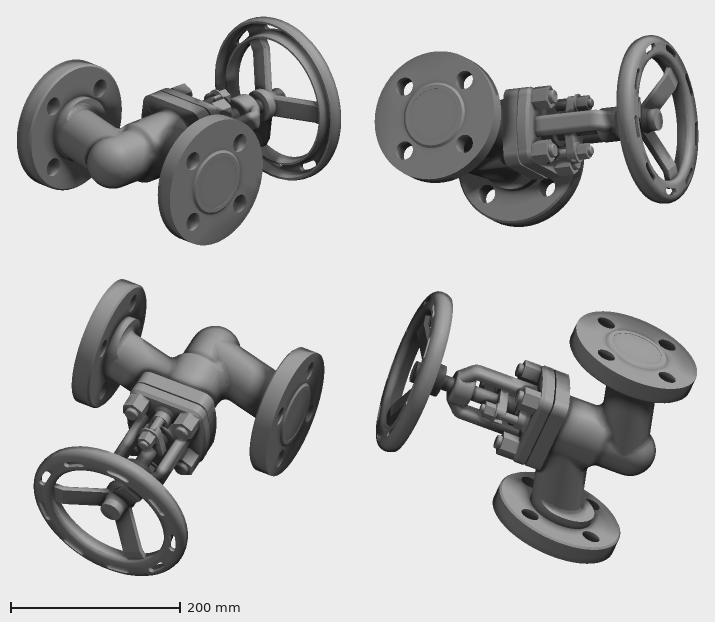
import cadquery as cq
import math


FACE_TO_FACE = 260.0
FLANGE_RADIUS = 77.5
FLANGE_THICKNESS = 22.5
FLANGE_CHAMFER = 2.2
RAISED_FACE_RADIUS = 36.8
RAISED_FACE_FLARE = 55.0
BORE_RADIUS = 31.7
BORE_RECESS = 0.5
RAISED_FACE_HEIGHT = 2.0
BOLT_HOLE_RADIUS = 11.0
BOLT_CIRCLE_RADIUS = 55.0
FLANGE_HUB_RADIUS = 38.9
FLANGE_HUB_LENGTH = 10.5
FLANGE_HUB_FILLET = 6.5

PIPE_RADIUS = 30.0
PIPE_TILT = 15.0
BODY_RADIUS = 36.6
BODY_TOP = 52.8
BODY_TOP_FILLET = 3.0
SUMP_RADIUS = 30.5
SUMP_CENTRE = -44.9
SUMP_SHOULDER = -13.7
INLET_FILLET = 10.0
OUTLET_FILLET = 10.0

BODY_PLATE_TOP = 70.5
BONNET_BOTTOM = 72.6
BONNET_TOP = 87.6
BODY_PLATE_X = 47.7
BONNET_X = 48.2
PLATE_Z = 47.0
PLATE_CORNER = 14.0
BODY_PLATE_BULGE = 3.2
BONNET_BULGE = 4.0
BONNET_BEVEL_HEIGHT = 4.4
BONNET_BEVEL_ANGLE = 24.0
GASKET_RADIUS = 41.5

STUD_PITCH = 65.5
STUD_RADIUS = 8.2
STUD_TOP = 113.2
STUD_CHAMFER = 1.0
NUT_FLATS = 24.4
NUT_TURN = 30.0
NUT_TOP = 107.6
STUD_END_RECESS = 0.5
STUD_END_RADIUS = 7.2

BOX_RADIUS = 20.5
BOX_TOP = 104.0
BOX_CHAMFER = 1.0
LUG_HALF_WIDTH = 10.4
LUG_TOP = 100.5
LUG_REACH = 35.0
LUG_FLARE = 4.0
LUG_FLARE_ANGLE = 45.0
BUSH_RADIUS = 12.5
BRIDGE_BOTTOM = 116.6
BRIDGE_TOP = 127.3
BRIDGE_RADIUS = 17.2
BRIDGE_END_RADIUS = 11.0
BRIDGE_EDGE_FILLET = 2.0
BRIDGE_SLOT_WIDTH = 12.0
EYEBOLT_OFFSET = 29.0
EYEBOLT_RADIUS = 5.5
EYEBOLT_TOP = 146.5
EYEBOLT_CHAMFER = 1.0
WASHER_RADIUS = 12.5
WASHER_TOP = 129.5
GLAND_NUT_FLATS = 17.0
GLAND_NUT_TOP = 142.3

ARM_OFFSET = 27.8
ARM_THICKNESS = 13.0
ARM_WIDTH = 25.0
ARM_BEND_CORNER = 163.0
ARM_BEND_ANGLE = 45.0
ARM_BEND_RADIUS = 9.0
YOKE_HUB_RADIUS = 20.4
YOKE_HUB_BOTTOM = 158.6
YOKE_HUB_TOP = 183.0
YOKE_HUB_FILLET = 4.3
STEM_RADIUS = 9.1

WHEEL_RADIUS = 100.0
WHEEL_TOP = 242.0
RIM_BOTTOM = 222.2
RIM_LIP_INNER_RADIUS = 95.0
WEB_BOTTOM = 237.0
WEB_OUTER_RADIUS = 93.5
WEB_INNER_RADIUS = 79.8
WEB_FILLET = 3.7
INNER_LIP_OUTER_RADIUS = 79.2
INNER_LIP_INNER_RADIUS = 76.7
INNER_LIP_BOTTOM = 221.5
INNER_LIP_SHOULDER_RADIUS = 74.4
INNER_LIP_SHOULDER = 230.0
RIM_INNER_RADIUS = 73.0
RIM_INNER_ROUND = 7.0
RIM_TOP_ROUND = 10.3
RIM_BOTTOM_RADIUS = 97.6
SLOT_COUNT = 9
SLOT_FIRST_ANGLE = 20.0
SLOT_MEAN_RADIUS = 87.0
SLOT_WIDTH = 8.0
SLOT_SWEEP = 14.5
SPOKE_COUNT = 3
SPOKE_WIDTH = 25.0
SPOKE_BEVEL = 2.5
SPOKE_THICKNESS = 8.0
SPOKE_SLOPE = 0.42
SPOKE_ROOT_RADIUS = 10.0
SPOKE_ROOT_HEIGHT = 210.7
SPOKE_BEND_RADIUS = 61.0
WHEEL_HUB_RADIUS = 19.4
WHEEL_HUB_BOTTOM = 197.0
WHEEL_HUB_SHOULDER = 205.7
WHEEL_HUB_NECK = 222.0
WHEEL_HUB_NECK_RADIUS = 13.0
WHEEL_HUB_TOP = 232.0
WHEEL_HUB_EDGE_HEIGHT = 1.5
WHEEL_HUB_EDGE_INSET = 0.4

OVERLAP = 2.0


def level(y):
    """Workplane at height y on the stem axis, extruding towards +Y; local (x, y) is (X, -Z)."""
    return cq.Workplane("XZ", origin=(0, y, 0)).transformed(rotate=(180, 0, 0))


def post(radius, bottom, top, x=0.0, z=0.0):
    """Cylinder parallel to the stem axis."""
    return level(bottom).center(x, -z).circle(radius).extrude(top - bottom)


def hex_nut(flats, bottom, top, x, z, turn):
    """Hexagonal nut parallel to the stem axis, turned by the given angle."""
    across_corners = flats / math.cos(math.pi / 6)
    nut = level(bottom).polygon(6, across_corners).extrude(top - bottom)
    return nut.rotate((0, 0, 0), (0, 1, 0), turn).translate((x, 0, z))


def half_turn(shape):
    """Copy of a shape turned half a revolution about Z."""
    return shape.rotate((0, 0, 0), (0, 0, 1), 180)


def make_pipe():
    """Inclined branch from the left port down to the stem axis."""
    tilt = math.radians(PIPE_TILT)
    axis = cq.Vector(math.cos(tilt), -math.sin(tilt), 0)
    port_to_axis = FACE_TO_FACE / 2 / math.cos(tilt)
    start = (FLANGE_THICKNESS + RAISED_FACE_HEIGHT + OVERLAP) / math.cos(tilt)
    origin = cq.Vector(-FACE_TO_FACE / 2, 0, 0) + axis * start
    plane = cq.Plane(origin=origin.toTuple(), xDir=(0, 0, 1), normal=axis.toTuple())
    return cq.Workplane(plane).circle(PIPE_RADIUS).extrude(port_to_axis - start)


def make_body():
    """Bonnet neck stepping down to the round-ended sump, with both branches blended in."""
    shoulder_mid = ((BODY_RADIUS + SUMP_RADIUS) / 2, SUMP_SHOULDER / 2)
    drop = BODY_RADIUS - SUMP_RADIUS
    bend = (drop**2 + SUMP_SHOULDER**2) / (4 * drop)
    half_angle = math.asin(-SUMP_SHOULDER / 2 / bend) / 2
    bow_x = bend * (1 - math.cos(half_angle))
    bow_y = bend * math.sin(half_angle)
    dome = SUMP_RADIUS * math.sqrt(0.5)
    core = (
        cq.Workplane("XY")
        .moveTo(0, BODY_PLATE_TOP)
        .lineTo(BODY_RADIUS, BODY_PLATE_TOP)
        .lineTo(BODY_RADIUS, 0)
        .threePointArc((BODY_RADIUS - bow_x, -bow_y), shoulder_mid)
        .threePointArc((SUMP_RADIUS + bow_x, SUMP_SHOULDER + bow_y), (SUMP_RADIUS, SUMP_SHOULDER))
        .lineTo(SUMP_RADIUS, SUMP_CENTRE)
        .threePointArc((dome, SUMP_CENTRE - dome), (0, SUMP_CENTRE - SUMP_RADIUS))
        .close()
        .revolve(360, (0, 0, 0), (0, 1, 0))
    )
    pipe = make_pipe()
    body = core.union(pipe).edges("%BSPLINE").edges("<X").fillet(INLET_FILLET)
    return body.union(half_turn(pipe)).edges("%BSPLINE").edges(">X").fillet(OUTLET_FILLET)


def make_end_flange():
    """Left end flange with raised face, bolt holes and hub."""
    left = cq.Workplane("YZ", origin=(-FACE_TO_FACE / 2, 0, 0))
    disc = (
        left.workplane(offset=RAISED_FACE_HEIGHT)
        .circle(FLANGE_RADIUS)
        .extrude(FLANGE_THICKNESS)
        .faces(">X")
        .chamfer(FLANGE_CHAMFER)
    )
    bolt_pitch = BOLT_CIRCLE_RADIUS * math.sqrt(2)
    holes = (
        left.rect(bolt_pitch, bolt_pitch, forConstruction=True)
        .vertices()
        .circle(BOLT_HOLE_RADIUS)
        .extrude(RAISED_FACE_HEIGHT + FLANGE_THICKNESS + OVERLAP)
    )
    raised_face = left.circle(RAISED_FACE_RADIUS).extrude(RAISED_FACE_HEIGHT, taper=-RAISED_FACE_FLARE)
    bore = left.circle(BORE_RADIUS).extrude(BORE_RECESS)
    hub = (
        left.workplane(offset=RAISED_FACE_HEIGHT)
        .circle(FLANGE_HUB_RADIUS)
        .extrude(FLANGE_THICKNESS + FLANGE_HUB_LENGTH)
    )
    return disc.union(raised_face).union(hub).cut(bore).cut(holes)


def make_plate(half_x, bulge, bottom, top, taper=0.0):
    """Bonnet joint plate: rounded corners, flat in Z and slightly bulged in X."""
    side_z = PLATE_Z - PLATE_CORNER
    end_x = half_x - PLATE_CORNER
    nook = PLATE_CORNER * math.sqrt(0.5)
    outline = (
        level(bottom)
        .moveTo(-end_x, PLATE_Z)
        .lineTo(end_x, PLATE_Z)
        .threePointArc((end_x + nook, side_z + nook), (half_x, side_z))
        .threePointArc((half_x + bulge, 0), (half_x, -side_z))
        .threePointArc((end_x + nook, -side_z - nook), (end_x, -PLATE_Z))
        .lineTo(-end_x, -PLATE_Z)
        .threePointArc((-end_x - nook, -side_z - nook), (-half_x, -side_z))
        .threePointArc((-half_x - bulge, 0), (-half_x, side_z))
        .threePointArc((-end_x - nook, side_z + nook), (-end_x, PLATE_Z))
        .close()
    )
    return outline.extrude(top - bottom, taper=taper)


def make_bonnet_joint():
    """Body plate, gasket, bonnet plate and the four studs with nuts."""
    neck_flare = post(BODY_RADIUS + BODY_TOP_FILLET, BODY_TOP - BODY_TOP_FILLET, BODY_TOP)
    cove = (
        cq.Workplane("XY")
        .center(BODY_RADIUS + BODY_TOP_FILLET, BODY_TOP - BODY_TOP_FILLET)
        .circle(BODY_TOP_FILLET)
        .revolve(360, (-BODY_RADIUS - BODY_TOP_FILLET, 0, 0), (-BODY_RADIUS - BODY_TOP_FILLET, 1, 0))
    )
    joint = neck_flare.cut(cove)
    bevel_start = BONNET_TOP - BONNET_BEVEL_HEIGHT
    bonnet = make_plate(BONNET_X, BONNET_BULGE, BONNET_BOTTOM, bevel_start).union(
        make_plate(BONNET_X, BONNET_BULGE, bevel_start, BONNET_TOP, BONNET_BEVEL_ANGLE)
    )
    joint = joint.union(make_plate(BODY_PLATE_X, BODY_PLATE_BULGE, BODY_TOP, BODY_PLATE_TOP))
    joint = joint.union(bonnet).union(post(GASKET_RADIUS, BODY_PLATE_TOP, BONNET_BOTTOM))
    for x in (-STUD_PITCH / 2, STUD_PITCH / 2):
        for z in (-STUD_PITCH / 2, STUD_PITCH / 2):
            stud = post(STUD_RADIUS, BODY_PLATE_TOP - OVERLAP, STUD_TOP, x, z)
            joint = joint.union(stud.faces(">Y").chamfer(STUD_CHAMFER))
            joint = joint.union(hex_nut(NUT_FLATS, BONNET_TOP, NUT_TOP, x, z, NUT_TURN))
            joint = joint.cut(post(STUD_END_RADIUS, BODY_TOP, BODY_TOP + STUD_END_RECESS, x, z))
    return joint


def make_bridge():
    """Gland bridge: a lozenge with open slots for the two eye bolts."""
    thickness = BRIDGE_TOP - BRIDGE_BOTTOM
    slant = math.asin((BRIDGE_RADIUS - BRIDGE_END_RADIUS) / EYEBOLT_OFFSET)
    wide = (BRIDGE_RADIUS * math.cos(slant), BRIDGE_RADIUS * math.sin(slant))
    narrow = (
        BRIDGE_END_RADIUS * math.cos(slant),
        EYEBOLT_OFFSET + BRIDGE_END_RADIUS * math.sin(slant),
    )
    tip = EYEBOLT_OFFSET + BRIDGE_END_RADIUS
    bridge = (
        level(BRIDGE_BOTTOM)
        .moveTo(*wide)
        .lineTo(*narrow)
        .threePointArc((0, tip), (-narrow[0], narrow[1]))
        .lineTo(-wide[0], wide[1])
        .threePointArc((-BRIDGE_RADIUS, 0), (-wide[0], -wide[1]))
        .lineTo(-narrow[0], -narrow[1])
        .threePointArc((0, -tip), (narrow[0], -narrow[1]))
        .lineTo(wide[0], -wide[1])
        .threePointArc((BRIDGE_RADIUS, 0), wide)
        .close()
        .extrude(thickness)
        .faces("<Y")
        .edges()
        .fillet(BRIDGE_EDGE_FILLET)
    )
    for side in (-1, 1):
        slot_length = BRIDGE_END_RADIUS + OVERLAP
        slot = (
            level(BRIDGE_BOTTOM)
            .center(0, side * (EYEBOLT_OFFSET + slot_length / 2))
            .rect(BRIDGE_SLOT_WIDTH, slot_length)
            .extrude(thickness)
        )
        slot_end = post(BRIDGE_SLOT_WIDTH / 2, BRIDGE_BOTTOM, BRIDGE_TOP, 0, side * EYEBOLT_OFFSET)
        bridge = bridge.cut(slot).cut(slot_end)
    return bridge


def make_gland():
    """Stuffing box, gland bush, bridge and the eye bolts that pull it down."""
    gland = post(BOX_RADIUS, BONNET_TOP, BOX_TOP).faces(">Y").chamfer(BOX_CHAMFER)
    lugs = level(BONNET_TOP).slot2D(2 * LUG_REACH, 2 * LUG_HALF_WIDTH, 90).extrude(LUG_TOP - BONNET_TOP)
    foot = (
        level(BONNET_TOP)
        .slot2D(2 * (LUG_REACH + LUG_FLARE), 2 * (LUG_HALF_WIDTH + LUG_FLARE), 90)
        .extrude(LUG_FLARE, taper=LUG_FLARE_ANGLE)
    )
    lugs = lugs.union(foot)
    gland = gland.union(lugs).union(post(BUSH_RADIUS, BONNET_TOP, BRIDGE_TOP)).union(make_bridge())
    for z in (-EYEBOLT_OFFSET, EYEBOLT_OFFSET):
        bolt = post(EYEBOLT_RADIUS, BONNET_TOP, EYEBOLT_TOP, 0, z).faces(">Y").chamfer(EYEBOLT_CHAMFER)
        gland = gland.union(bolt).union(post(WASHER_RADIUS, BRIDGE_TOP, WASHER_TOP, 0, z))
        gland = gland.union(hex_nut(GLAND_NUT_FLATS, WASHER_TOP, GLAND_NUT_TOP, 0, z, NUT_TURN))
    return gland


def make_yoke():
    """Two oblong arms bending inwards at 45 degrees to the stem hub."""
    half_bend = math.radians(ARM_BEND_ANGLE / 2)
    tangent = ARM_BEND_RADIUS * math.tan(half_bend)
    arc_rise = ARM_BEND_RADIUS * math.sin(half_bend)
    arc_run = ARM_BEND_RADIUS * (1 - math.cos(half_bend))
    diagonal = math.sqrt(0.5)
    bend_start = ARM_BEND_CORNER - tangent
    hub_reach = ARM_OFFSET - ARM_THICKNESS / 2
    path = (
        cq.Workplane("XY")
        .moveTo(-ARM_OFFSET, BONNET_TOP)
        .lineTo(-ARM_OFFSET, bend_start)
        .threePointArc(
            (-ARM_OFFSET + arc_run, bend_start + arc_rise),
            (-ARM_OFFSET + tangent * diagonal, ARM_BEND_CORNER + tangent * diagonal),
        )
        .lineTo(-ARM_OFFSET + hub_reach, ARM_BEND_CORNER + hub_reach)
    )
    arm = level(BONNET_TOP).center(-ARM_OFFSET, 0).slot2D(ARM_WIDTH, ARM_THICKNESS, 90).sweep(path)
    hub = post(YOKE_HUB_RADIUS, YOKE_HUB_BOTTOM, YOKE_HUB_TOP)
    above_hub = level(YOKE_HUB_TOP).rect(4 * ARM_OFFSET, 4 * ARM_OFFSET).extrude(ARM_WIDTH)
    arms = arm.union(arm.mirror("YZ")).cut(above_hub)
    return arms.union(hub.edges().fillet(YOKE_HUB_FILLET))


def make_rim():
    """Channel-shaped rim with slots through its web."""
    inner_edge = WHEEL_TOP - RIM_INNER_ROUND
    round_sag = RIM_INNER_ROUND * (1 - math.sqrt(0.5))
    inner_mid = (RIM_INNER_RADIUS + round_sag, WHEEL_TOP - round_sag)
    rim = (
        cq.Workplane("XY")
        .moveTo(RIM_INNER_RADIUS + RIM_INNER_ROUND, WHEEL_TOP)
        .lineTo(WHEEL_RADIUS - RIM_TOP_ROUND, WHEEL_TOP)
        .tangentArcPoint((WHEEL_RADIUS, WHEEL_TOP - RIM_TOP_ROUND), relative=False)
        .tangentArcPoint((RIM_BOTTOM_RADIUS, RIM_BOTTOM), relative=False)
        .lineTo(RIM_LIP_INNER_RADIUS, RIM_BOTTOM)
        .lineTo(WEB_OUTER_RADIUS, WEB_BOTTOM)
        .lineTo(WEB_INNER_RADIUS, WEB_BOTTOM)
        .lineTo(INNER_LIP_OUTER_RADIUS, INNER_LIP_BOTTOM)
        .lineTo(INNER_LIP_INNER_RADIUS, INNER_LIP_BOTTOM)
        .lineTo(INNER_LIP_SHOULDER_RADIUS, INNER_LIP_SHOULDER)
        .lineTo(RIM_INNER_RADIUS, inner_edge)
        .threePointArc(inner_mid, (RIM_INNER_RADIUS + RIM_INNER_ROUND, WHEEL_TOP))
        .close()
        .revolve(360, (0, 0, 0), (0, 1, 0))
    )
    web_slice = cq.selectors.BoxSelector(
        (-WHEEL_RADIUS, WEB_BOTTOM - OVERLAP, -WHEEL_RADIUS),
        (WHEEL_RADIUS, WEB_BOTTOM + OVERLAP, WHEEL_RADIUS),
    )
    rim = rim.edges(web_slice).fillet(WEB_FILLET)
    half_sweep = math.radians(SLOT_SWEEP / 2)
    inner = SLOT_MEAN_RADIUS - SLOT_WIDTH / 2
    outer = SLOT_MEAN_RADIUS + SLOT_WIDTH / 2

    def polar(radius, angle):
        return (radius * math.cos(angle), radius * math.sin(angle))

    cap = math.asin(SLOT_WIDTH / 2 / SLOT_MEAN_RADIUS)
    slot = (
        level(RIM_BOTTOM)
        .moveTo(*polar(inner, -half_sweep))
        .threePointArc((inner, 0), polar(inner, half_sweep))
        .threePointArc(polar(SLOT_MEAN_RADIUS, half_sweep + cap), polar(outer, half_sweep))
        .threePointArc((outer, 0), polar(outer, -half_sweep))
        .threePointArc(polar(SLOT_MEAN_RADIUS, -half_sweep - cap), polar(inner, -half_sweep))
        .close()
        .extrude(WHEEL_TOP - RIM_BOTTOM)
    )
    for index in range(SLOT_COUNT):
        angle = SLOT_FIRST_ANGLE + index * 360 / SLOT_COUNT
        rim = rim.cut(slot.rotate((0, 0, 0), (0, 1, 0), angle))
    return rim


def make_spoke():
    """Spoke rising from the wheel hub to the inner lip of the rim, along +X."""
    mid_height = SPOKE_ROOT_HEIGHT + SPOKE_SLOPE * (SPOKE_BEND_RADIUS - SPOKE_ROOT_RADIUS)
    root = (SPOKE_ROOT_RADIUS, SPOKE_ROOT_HEIGHT)
    path = cq.Workplane("XY").polyline(
        [root, (SPOKE_BEND_RADIUS, mid_height), (RIM_INNER_RADIUS + OVERLAP, mid_height)]
    )
    section = cq.Plane(origin=(*root, 0), xDir=(0, 0, 1), normal=(1, SPOKE_SLOPE, 0))
    side = SPOKE_WIDTH / 2
    half_thickness = SPOKE_THICKNESS / 2
    return (
        cq.Workplane(section)
        .polyline(
            [
                (-side, -half_thickness),
                (-side, half_thickness - SPOKE_BEVEL),
                (SPOKE_BEVEL - side, half_thickness),
                (side - SPOKE_BEVEL, half_thickness),
                (side, half_thickness - SPOKE_BEVEL),
                (side, -half_thickness),
            ]
        )
        .close()
        .sweep(path, transition="right")
    )


def make_wheel():
    """Hand wheel: rim, spokes and hub."""
    hub = (
        cq.Workplane("XY")
        .moveTo(0, WHEEL_HUB_BOTTOM)
        .lineTo(WHEEL_HUB_RADIUS - WHEEL_HUB_EDGE_INSET, WHEEL_HUB_BOTTOM)
        .lineTo(WHEEL_HUB_RADIUS, WHEEL_HUB_BOTTOM + WHEEL_HUB_EDGE_HEIGHT)
        .lineTo(WHEEL_HUB_RADIUS, WHEEL_HUB_SHOULDER)
        .lineTo(WHEEL_HUB_NECK_RADIUS, WHEEL_HUB_NECK)
        .lineTo(WHEEL_HUB_NECK_RADIUS, WHEEL_HUB_TOP)
        .lineTo(0, WHEEL_HUB_TOP)
        .close()
        .revolve(360, (0, 0, 0), (0, 1, 0))
    )
    wheel = make_rim().union(hub)
    spoke = make_spoke()
    for index in range(SPOKE_COUNT):
        wheel = wheel.union(spoke.rotate((0, 0, 0), (0, 1, 0), index * 360 / SPOKE_COUNT))
    return wheel


def add_end_flanges(body):
    """Body with both end flanges, each hub face blended into its pipe."""
    flange = make_end_flange()
    joined = body.union(flange).union(half_turn(flange))
    hub_face = FACE_TO_FACE / 2 - RAISED_FACE_HEIGHT - FLANGE_THICKNESS - FLANGE_HUB_LENGTH
    for side in (-1, 1):
        face_slice = cq.selectors.BoxSelector(
            (side * hub_face - OVERLAP, -FLANGE_RADIUS, -FLANGE_RADIUS),
            (side * hub_face + OVERLAP, FLANGE_RADIUS, FLANGE_RADIUS),
            boundingbox=True,
        )
        joined = joined.edges(face_slice).edges("%ELLIPSE").fillet(FLANGE_HUB_FILLET)
    return joined


result = (
    add_end_flanges(make_body())
    .union(make_bonnet_joint())
    .union(make_gland())
    .union(make_yoke())
    .union(post(STEM_RADIUS, BONNET_TOP, WHEEL_HUB_BOTTOM + OVERLAP))
    .union(make_wheel())
)